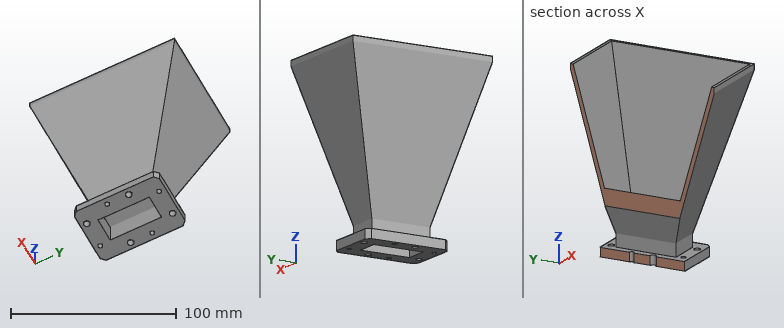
import cadquery as cq

total_height = 120.0
flange_thickness = 6.4
neck_top = 15.0
rim_height = 3.8
rim_bottom = total_height - rim_height

mouth_x, mouth_y = 72.0, 98.4
neck_x, neck_y = 21.5, 41.0
flange_x, flange_y = 38.9, 57.8
flange_chamfer = 2.8

rim_wall = 2.0
bore_x, bore_y = 15.8, 34.8

screw_diameter = 4.0
dowel_diameter = 2.9
end_hole_x, end_hole_y = 8.8, 24.6
side_hole_x, side_hole_y = 15.2, 7.3


def box(size_x, size_y, bottom, top):
    """Centred rectangular block between two heights."""
    return cq.Workplane("XY").workplane(offset=bottom).rect(size_x, size_y).extrude(top - bottom)


def taper(bottom_x, bottom_y, top_x, top_y, bottom, top):
    """Centred rectangular frustum between two heights."""
    return (
        cq.Workplane("XY")
        .workplane(offset=bottom)
        .rect(bottom_x, bottom_y)
        .workplane(offset=top - bottom)
        .rect(top_x, top_y)
        .loft(ruled=True)
    )


def flange_holes(diameter, positions):
    """Through holes at the given positions and their half-turn partners."""
    partners = [(-x, -y) for x, y in positions]
    return (
        cq.Workplane("XY")
        .pushPoints(positions + partners)
        .circle(diameter / 2)
        .extrude(flange_thickness)
    )


flange = box(flange_x, flange_y, 0, flange_thickness).edges("|Z").chamfer(flange_chamfer)
neck = box(neck_x, neck_y, flange_thickness, neck_top)
horn = taper(neck_x, neck_y, mouth_x, mouth_y, neck_top, rim_bottom)
rim = box(mouth_x, mouth_y, rim_bottom, total_height)
body = flange.union(neck).union(horn).union(rim)

bore = box(bore_x, bore_y, 0, neck_top)
mouth = taper(
    bore_x,
    bore_y,
    mouth_x - 2 * rim_wall,
    mouth_y - 2 * rim_wall,
    neck_top,
    total_height,
)

screw_holes = flange_holes(
    screw_diameter, [(-end_hole_x, end_hole_y), (-side_hole_x, -side_hole_y)]
)
dowel_holes = flange_holes(
    dowel_diameter, [(-end_hole_x, -end_hole_y), (-side_hole_x, side_hole_y)]
)

result = body.cut(bore).cut(mouth).cut(screw_holes).cut(dowel_holes)